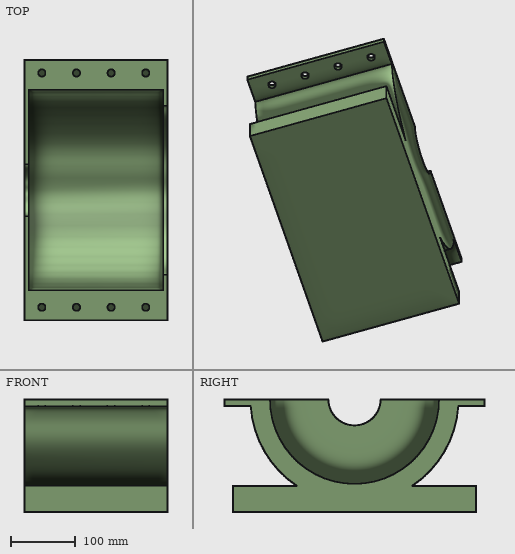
import cadquery as cq

length = 221.0
flange_width = 401.5
total_height = 174.0

outer_radius = 160.5
inner_radius = 154.5
end_wall = 7.0
small_opening_radius = 40.0
large_opening_radius = 130.5

flange_thickness = 10.5
hole_diameter = 11.2
holes_per_side = 4
hole_pitch = 53.5
hole_edge_distance = 20.0
first_hole_distance = 27.0

base_width = 375.0
base_height = 40.0


def lower_box(width, height, top_z):
    """Full-length box centred in X and Y, hanging below top_z."""
    return cq.Workplane("XY").box(length, width, height, (True, True, False)).translate((0, 0, top_z - height))


def axial_cylinder(radius, start_x, end_x):
    """Cylinder on the trough axis between two X positions."""
    return cq.Workplane("YZ").workplane(offset=start_x).circle(radius).extrude(end_x - start_x)


end_x = length / 2
body = axial_cylinder(outer_radius, -end_x, end_x).intersect(lower_box(flange_width, total_height, 0))
flange = lower_box(flange_width, flange_thickness, 0)
base = lower_box(base_width, base_height, base_height - total_height)
result = body.union(flange).union(base)

cavity_end_x = end_x - end_wall
result = result.cut(axial_cylinder(inner_radius, -cavity_end_x, cavity_end_x))
result = result.cut(axial_cylinder(small_opening_radius, -end_x, -cavity_end_x))
result = result.cut(axial_cylinder(large_opening_radius, cavity_end_x, end_x))

hole_row_spacing = flange_width - 2 * hole_edge_distance
row_center_x = -end_x + first_hole_distance + hole_pitch * (holes_per_side - 1) / 2
bolt_holes = (
    cq.Workplane("XY")
    .center(row_center_x, 0)
    .rarray(hole_pitch, hole_row_spacing, holes_per_side, 2)
    .circle(hole_diameter / 2)
    .extrude(-flange_thickness)
)
result = result.cut(bolt_holes)